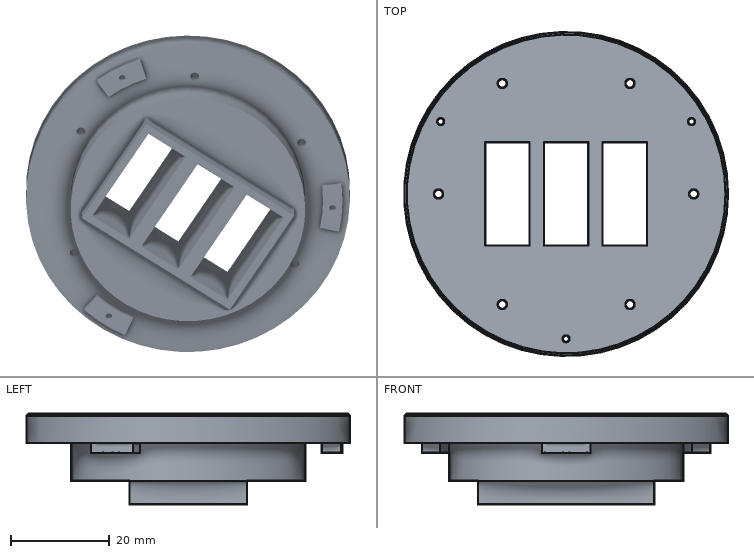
import cadquery as cq
import math

plate_diameter = 66
plate_thickness = 6.0
plate_chamfer = 0.5

boss_diameter = 47.8
boss_height = 7.7
block_length = 36.0
block_width = 24.0
block_height = 4.75
total_height = plate_thickness + boss_height + block_height

window_count = 3
window_length = 9.0
window_width = 21.0
window_pitch = 11.95

screw_count = 6
screw_diameter = 1.8
screw_circle_radius = 26.0

tab_angles = (30, 150, 270)
tab_half_angle = 9
tab_inner_radius = 27.5
tab_outer_radius = 31.5
tab_height = 2
pin_diameter = 1.3
pin_circle_radius = (tab_inner_radius + tab_outer_radius) / 2


def polar(radius, angle):
    """Point at the given radius and angle in degrees."""
    radians = math.radians(angle)
    return radius * math.cos(radians), radius * math.sin(radians)


def curved_tab(angle):
    """Ring sector with radial ends, hanging below the plate."""
    start = angle - tab_half_angle
    end = angle + tab_half_angle
    return (
        cq.Workplane("XY", origin=(0, 0, -plate_thickness))
        .moveTo(*polar(tab_inner_radius, start))
        .lineTo(*polar(tab_outer_radius, start))
        .threePointArc(polar(tab_outer_radius, angle), polar(tab_outer_radius, end))
        .lineTo(*polar(tab_inner_radius, end))
        .threePointArc(polar(tab_inner_radius, angle), polar(tab_inner_radius, start))
        .close()
        .extrude(-tab_height)
    )


def round_cutters(points, diameter):
    """Cylinders running the full height of the part."""
    return cq.Workplane("XY").pushPoints(points).circle(diameter / 2).extrude(-total_height)


body = cq.Workplane("XY").circle(plate_diameter / 2).extrude(-plate_thickness)
body = body.faces(">Z").edges().chamfer(plate_chamfer)
body = body.faces("<Z").workplane().circle(boss_diameter / 2).extrude(boss_height)
body = body.faces("<Z").workplane().rect(block_length, block_width).extrude(block_height)

for tab_angle in tab_angles:
    body = body.union(curved_tab(tab_angle))

windows = (
    cq.Workplane("XY")
    .rarray(window_pitch, 0.65, window_count, 1)
    .rect(window_length, window_width)
    .extrude(-total_height)
)

screw_points = [polar(screw_circle_radius, i * 360 / screw_count) for i in range(screw_count)]
pin_points = [polar(pin_circle_radius, tab_angle) for tab_angle in tab_angles]

result = (
    body.cut(windows)
    .cut(round_cutters(screw_points, screw_diameter))
    .cut(round_cutters(pin_points, pin_diameter))
)